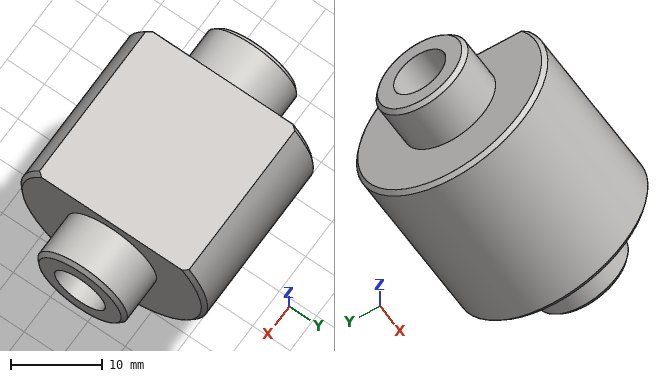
import cadquery as cq
import math

total_length = 33.0
body_length = 21.0
body_diameter = 25.0
overall_height = 20.0
pin_diameter = 12.0
edge_chamfer = 0.5
bore_diameter = 6.8
bore_depth = 10.0
drill_point_angle = 118.0

flat_height = overall_height - body_diameter / 2
drill_point_length = bore_diameter / 2 / math.tan(math.radians(drill_point_angle / 2))


def chamfered_cylinder(diameter, length):
    """Cylinder along X, centred on the origin, with both end rims chamfered."""
    return (
        cq.Workplane("YZ")
        .circle(diameter / 2)
        .extrude(length / 2, both=True)
        .faces("<X or >X")
        .chamfer(edge_chamfer)
    )


def drilled_bore():
    """Blind bore with a conical bottom, entering from the -X end."""
    entry = -total_length / 2
    shoulder = entry + bore_depth
    return (
        cq.Workplane("XZ")
        .moveTo(entry, 0)
        .lineTo(entry, bore_diameter / 2)
        .lineTo(shoulder, bore_diameter / 2)
        .lineTo(shoulder + drill_point_length, 0)
        .close()
        .revolve(360, (0, 0, 0), (1, 0, 0))
    )


body = chamfered_cylinder(body_diameter, body_length)
above_flat = (
    cq.Workplane("XY")
    .workplane(offset=flat_height)
    .rect(total_length, body_diameter)
    .extrude(body_diameter)
)
body = body.cut(above_flat)

result = body.union(chamfered_cylinder(pin_diameter, total_length))

bore = drilled_bore()
result = result.cut(bore).cut(bore.mirror("YZ"))